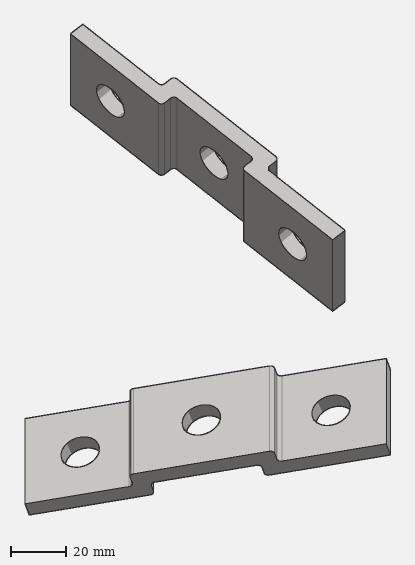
import cadquery as cq

length = 134.97
width = 41.275
thickness = 6.35
offset = 6.35
channel_width = 41.275
bend_radius = 1.5875
hole_diameter = 14.2875
hole_end_distance = 20.6375

depth = thickness + offset
half_length = length / 2
half_channel = channel_width / 2
half_raised = half_channel + thickness
hole_spacing = half_length - hole_end_distance


def make_strip():
    """Hat-shaped strip, sketched in XY and extruded along Z, with rounded bends."""
    half_outline = [
        (half_raised, depth),
        (half_raised, thickness),
        (half_length, thickness),
        (half_length, 0),
        (half_channel, 0),
        (half_channel, offset),
    ]
    mirrored = [(-x, y) for x, y in reversed(half_outline)]
    strip = cq.Workplane("XY").polyline(half_outline + mirrored).close().extrude(width)

    bend_zone = cq.selectors.BoxSelector(
        (-half_raised - bend_radius, -bend_radius, 0),
        (half_raised + bend_radius, depth + bend_radius, width),
    )
    return strip.edges("|Z").edges(bend_zone).fillet(bend_radius)


def make_holes():
    """Three bolt holes in a row, running through in Y at mid width."""
    centers = [(x, width / 2) for x in (-hole_spacing, 0, hole_spacing)]
    return cq.Workplane("XZ").pushPoints(centers).circle(hole_diameter / 2).extrude(-depth)


result = make_strip().cut(make_holes())